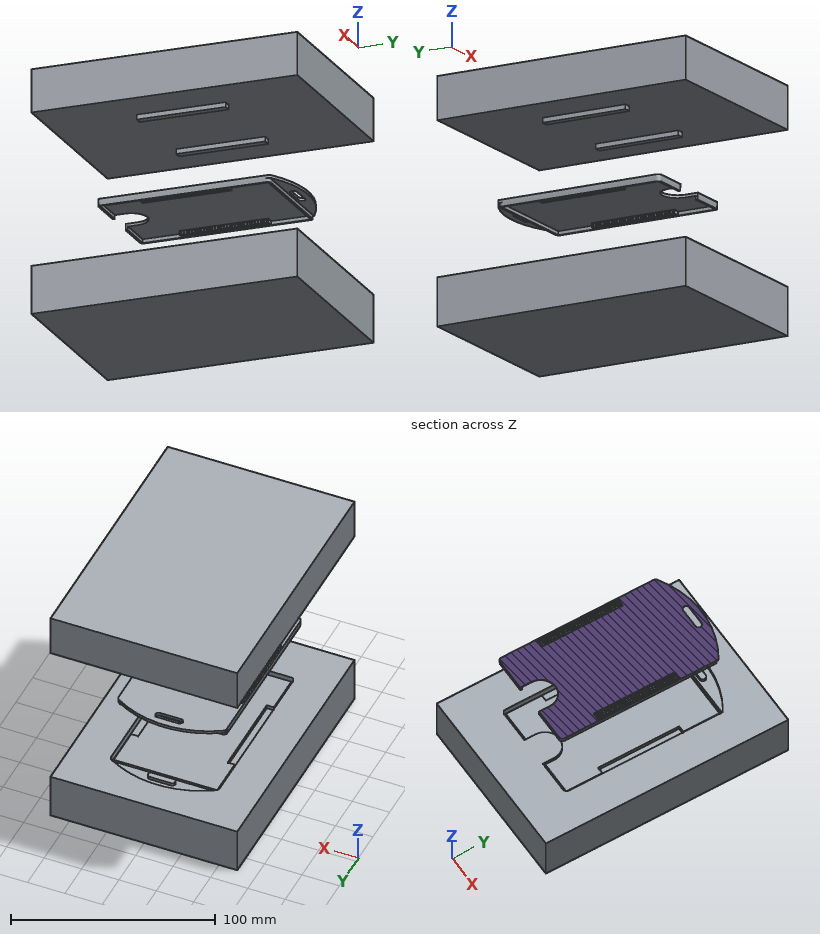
import cadquery as cq
MOULD_WIDTH = 100.0
MOULD_LENGTH = 140.0
LOWER_MOULD_HEIGHT = 25.0
UPPER_MOULD_HEIGHT = 22.5
STACK_HEIGHT = 127.5
UPPER_MOULD_BOTTOM = STACK_HEIGHT - UPPER_MOULD_HEIGHT

COVER_WIDTH = 58.0
COVER_LENGTH = 91.0
CORNER_RADIUS = 2.0
SKIN_THICKNESS = 1.5
RIM_HEIGHT = 2.0
RIM_WIDTH = 1.3
RIM_TAPER = 5
COVER_HEIGHT = SKIN_THICKNESS + RIM_HEIGHT
COVER_OFFSET_X = -3.9
COVER_TOP = 65.1

TAB_RISE = 8.7
STRAP_SLOT_LENGTH = 14.5
STRAP_SLOT_WIDTH = 3.5
STRAP_SLOT_Y = 48.6

NOTCH_WIDTH = 17.0
NOTCH_DEPTH = 15.0

WINDOW_WIDTH = 3.9
WINDOW_LENGTH = 46.8
WINDOW_DEPTH = 1.4
RIB_HEIGHT = 2.5
WINDOW_X = 25.9

VENT_COUNT = 31
VENT_WIDTH = 0.5
VENT_PITCH = WINDOW_LENGTH / VENT_COUNT


def slab(outline, top, thickness):
    """Extrude a flat outline downwards from the height `top`."""
    return outline.extrude(-thickness).translate((0, 0, top))


def skin():
    """Flat skin with an arched +Y end; its top face is at Z = 0."""
    half_width = COVER_WIDTH / 2
    half_length = COVER_LENGTH / 2
    outline = (
        cq.Workplane("XY")
        .moveTo(-half_width, -half_length)
        .lineTo(half_width, -half_length)
        .lineTo(half_width, half_length)
        .threePointArc((0, half_length + TAB_RISE), (-half_width, half_length))
        .close()
    )
    strap_slot = slab(
        cq.Workplane("XY").center(0, STRAP_SLOT_Y).slot2D(STRAP_SLOT_LENGTH, STRAP_SLOT_WIDTH),
        0,
        SKIN_THICKNESS,
    )
    return slab(outline, 0, SKIN_THICKNESS).edges("|Z").fillet(CORNER_RADIUS).cut(strap_slot)


def rim():
    """Rectangular wall below the skin, with outer faces that taper inwards towards the bottom."""
    inner_width = COVER_WIDTH - 2 * RIM_WIDTH
    inner_length = COVER_LENGTH - 2 * RIM_WIDTH
    outer_outline = cq.Sketch().rect(COVER_WIDTH, COVER_LENGTH).vertices().fillet(CORNER_RADIUS)
    outer = cq.Workplane("XY").placeSketch(outer_outline).extrude(-RIM_HEIGHT, taper=RIM_TAPER)
    inner = cq.Workplane("XY").rect(inner_width, inner_length).extrude(-RIM_HEIGHT)
    return outer.cut(inner).translate((0, 0, -SKIN_THICKNESS))


def thumb_notch():
    radius = NOTCH_WIDTH / 2
    front = -COVER_LENGTH / 2
    outline = (
        cq.Workplane("XY")
        .moveTo(-radius, front)
        .lineTo(radius, front)
        .lineTo(radius, front + NOTCH_DEPTH - radius)
        .threePointArc((0, front + NOTCH_DEPTH), (-radius, front + NOTCH_DEPTH - radius))
        .close()
    )
    return slab(outline, 0, COVER_HEIGHT)


def side_bars(top, height):
    """Two long bars with the plan size of the side windows."""
    outline = cq.Workplane("XY").pushPoints([(-WINDOW_X, 0), (WINDOW_X, 0)]).rect(WINDOW_WIDTH, WINDOW_LENGTH)
    return slab(outline, top, height)


def cover_blank():
    """Cover without vents; its top face is at Z = 0. The lower mould cavity has the same shape."""
    window_floors = side_bars(0, COVER_HEIGHT)
    return skin().union(rim()).cut(thumb_notch()).union(window_floors).cut(side_bars(0, WINDOW_DEPTH))


def vents():
    centres = [
        (side * WINDOW_X, (index - (VENT_COUNT - 1) / 2) * VENT_PITCH)
        for side in (-1, 1)
        for index in range(VENT_COUNT)
    ]
    outline = cq.Workplane("XY").pushPoints(centres).rect(WINDOW_WIDTH, VENT_WIDTH)
    return slab(outline, 0, COVER_HEIGHT)


def make_cover():
    return cover_blank().cut(vents()).translate((COVER_OFFSET_X, 0, COVER_TOP))


def make_lower_mould():
    block = slab(cq.Workplane("XY").rect(MOULD_WIDTH, MOULD_LENGTH), LOWER_MOULD_HEIGHT, LOWER_MOULD_HEIGHT)
    cavity = cover_blank().union(side_bars(0, COVER_HEIGHT)).translate((0, 0, LOWER_MOULD_HEIGHT))
    return block.cut(cavity)


def make_upper_mould():
    block = slab(cq.Workplane("XY").rect(MOULD_WIDTH, MOULD_LENGTH), STACK_HEIGHT, UPPER_MOULD_HEIGHT)
    return block.union(side_bars(UPPER_MOULD_BOTTOM, RIB_HEIGHT))


lower_mould = make_lower_mould()
cover = make_cover()
upper_mould = make_upper_mould()

result = cq.Compound.makeCompound([lower_mould.val(), cover.val(), upper_mould.val()])